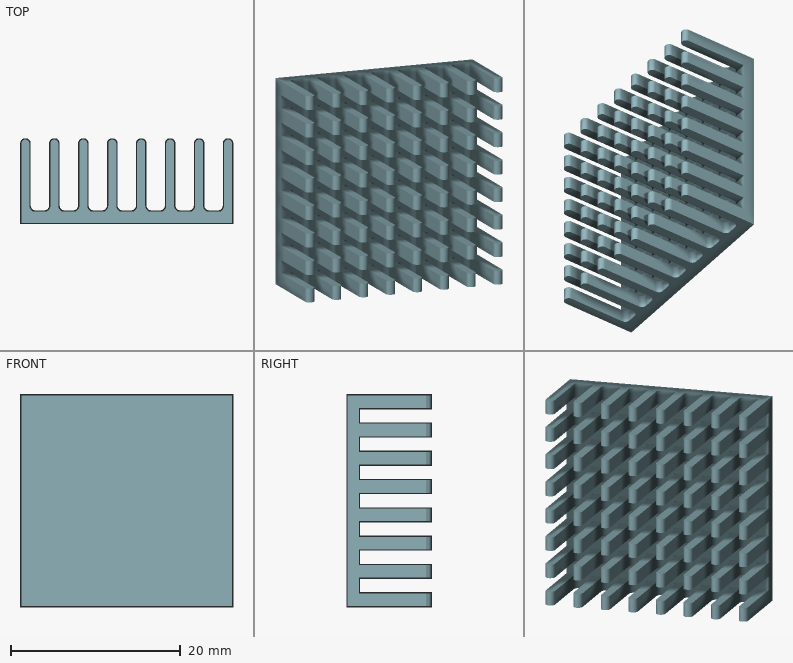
import cadquery as cq

side = 25.0
depth = 10.0
base_thickness = 1.5

fin_count = 8
fin_thickness = 1.12
fin_pitch = (side - fin_thickness) / (fin_count - 1)
tip_radius = fin_thickness / 2
root_fillet = 0.6

row_count = 8
cut_count = row_count - 1
row_height = side / (row_count + cut_count)
row_pitch = 2 * row_height

fin_left = -side / 2
channel_width = fin_pitch - fin_thickness
tip_start = depth - tip_radius


def comb_outline():
    """Closed outline of the base and fins in the X-Y plane."""
    outline = cq.Workplane("XY").moveTo(side / 2, 0).lineTo(fin_left, 0)
    for i in range(fin_count):
        left = fin_left + i * fin_pitch
        right = left + fin_thickness
        outline = (
            outline.lineTo(left, tip_start)
            .threePointArc((left + tip_radius, depth), (right, tip_start))
        )
        if i < fin_count - 1:
            next_left = right + channel_width
            outline = (
                outline.lineTo(right, base_thickness + root_fillet)
                .radiusArc((right + root_fillet, base_thickness), -root_fillet)
                .lineTo(next_left - root_fillet, base_thickness)
                .radiusArc((next_left, base_thickness + root_fillet), -root_fillet)
            )
    return outline.close()


def cross_cut(bottom):
    """Slot across all fins, down to the base, starting at height bottom."""
    return (
        cq.Workplane("XY", origin=(0, base_thickness, bottom))
        .box(side, depth - base_thickness, row_height, centered=(True, False, False))
    )


result = comb_outline().extrude(side)
for row in range(cut_count):
    result = result.cut(cross_cut(row_height + row * row_pitch))